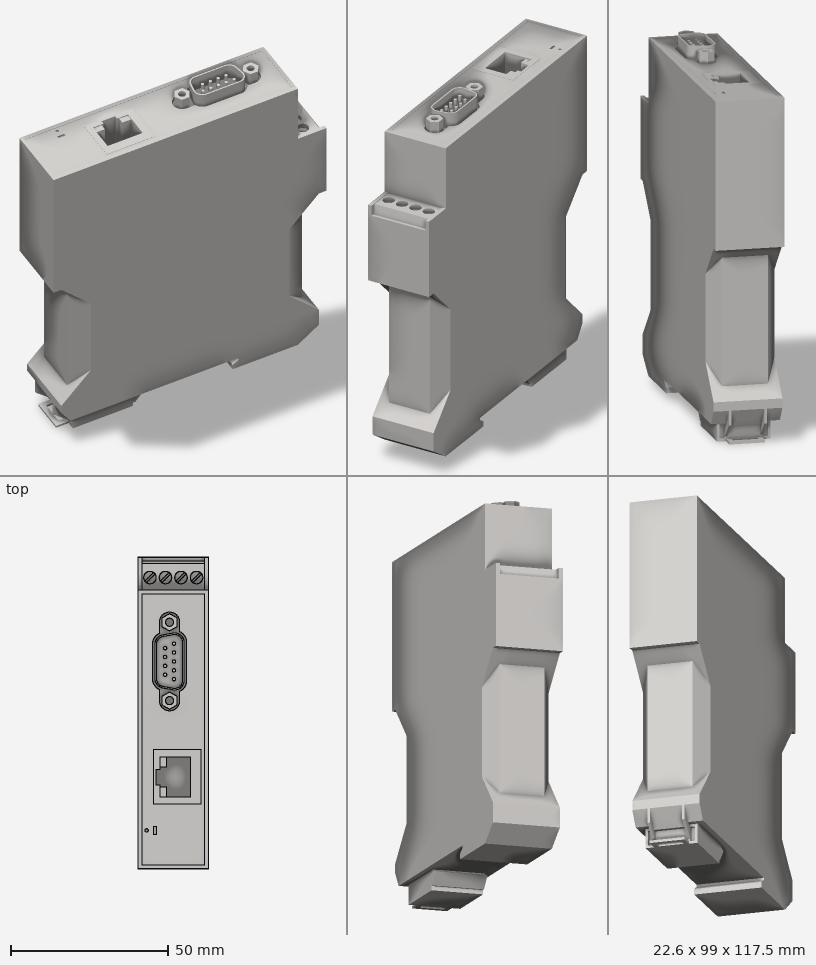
import cadquery as cq
import math


width = 22.6
depth = 99.0
housing_top = 113.4
half_width = width / 2
step_y = 88.6
step_z = 91.8
upper_bottom = 64.6
front_lip = 2.8
rear_lip = 2.8
waist_cut = 10.7
waist_top = upper_bottom - waist_cut
waist_bottom = 25.0
foot_top = waist_bottom - waist_cut
foot_front_y = front_lip
foot_rear_y = depth - rear_lip
foot_rear_z = 7.8
foot_bottom = 2.5
foot_hook_y = 65.0
foot_hook_z = 4.3
rail_y = 67.2
rail_notch_z = 5.6
rail_top = 6.5
front_chamfer_y = 6.1
front_chamfer_z = 11.3

column_front = 6.9
column_rear = depth - column_front
column_half_face = 7.5

latch_half_width = 8.7
latch_front = 8.5
latch_rear = 30.3
latch_step_y = 31.1
latch_step_z = 1.4
latch_tip_y = 34.5
latch_tip_z = 5.3
latch_neck_y = 31.8
latch_neck_z = 6.1
latch_wall = 0.8
latch_pocket_depth = 1.2
rib_inner_x = 5.4
rib_outer_x = 6.2
rib_bottom = 1.5
guide_bottom = 5.3
pull_half_width = 5.9
pull_front = 3.9
pull_bar = 1.9
pull_slot_half_width = 4.1
pull_slot_rear = 8.0

panel_half_width = 9.9
panel_border = 1.2
panel_recess = 0.1
panel_z = housing_top - panel_recess

serial_x = -1.2
serial_y = 65.9
serial_top = 117.5
serial_recess = 1.4
serial_floor = housing_top - serial_recess
shell_width = 9.3
shell_mean_half_length = 8.8
shell_corner_radius = 3.0
shell_flank_angle = math.radians(10)
shell_wall = 0.5
shell_clearance = 0.8
post_pitch = 24.9
post_across_corners = 5.5
post_bore = 2.6
post_bore_depth = 4.7
post_top = 116.8
post_well_diameter = 6.5
pin_diameter = 1.0
pin_pitch = 2.8
pin_top = 116.3

socket_x0 = -6.3
socket_x1 = 8.8
socket_y0 = 20.7
socket_y1 = 38.0
opening_x0 = -4.2
opening_x1 = 5.5
opening_y0 = 22.8
opening_y1 = 35.5
opening_depth = 12.9
key_width = 4.9
key_depth = 1.3
block_width = 2.1
block_length = 3.2
block_drop = 0.4

indicator_y = 12.2
round_indicator_x = -8.5
round_indicator_diameter = 1.0
bar_indicator_x = -5.8
bar_indicator_width = 0.9
bar_indicator_length = 2.6
indicator_depth = 0.6

terminal_half_width = 10.0
terminal_drop = 0.2
ledge_drop = 3.5
ledge_depth = 1.2
terminal_rear_inset = 2.0
screw_count = 4
screw_pitch = 4.9
screw_y = 92.6
screw_diameter = 4.0
screw_sink = 1.8
screw_slot_width = 0.7
screw_slot_depth = 0.6
screw_slot_angle = 45


def box(x0, x1, y0, y1, z0, z1):
    return cq.Workplane("XY").box(x1 - x0, y1 - y0, z1 - z0, centered=False).translate((x0, y0, z0))


def side_prism(points, x0, x1):
    """Extrude a (Y, Z) outline across X."""
    return cq.Workplane("YZ").workplane(offset=x0).polyline(points).close().extrude(x1 - x0)


def cylinder(x, y, diameter, z0, z1):
    return cq.Workplane("XY", origin=(x, y, z0)).circle(diameter / 2).extrude(z1 - z0)


def make_housing():
    outline = [
        (0, housing_top),
        (step_y, housing_top),
        (step_y, step_z),
        (depth, step_z),
        (depth, upper_bottom),
        (foot_rear_y, upper_bottom),
        (foot_rear_y - waist_cut, waist_top),
        (foot_rear_y - waist_cut, waist_bottom),
        (foot_rear_y, foot_top),
        (foot_rear_y, foot_rear_z),
        (step_y, foot_bottom),
        (foot_hook_y, foot_bottom),
        (foot_hook_y, foot_hook_z),
        (rail_y, rail_notch_z),
        (rail_y, rail_top),
        (front_chamfer_y, rail_top),
        (foot_front_y, front_chamfer_z),
        (foot_front_y, foot_top),
        (foot_front_y + waist_cut, waist_bottom),
        (foot_front_y + waist_cut, waist_top),
        (front_lip, upper_bottom),
        (0, upper_bottom),
    ]
    return side_prism(outline, -half_width, half_width)


def make_column():
    front_edge = front_lip + waist_cut
    rear_edge = depth - rear_lip - waist_cut
    outline = [
        (-half_width, front_edge),
        (-column_half_face, column_front),
        (column_half_face, column_front),
        (half_width, front_edge),
        (half_width, rear_edge),
        (column_half_face, column_rear),
        (-column_half_face, column_rear),
        (-half_width, rear_edge),
    ]
    column = cq.Workplane("XY", origin=(0, 0, foot_top)).polyline(outline).close()
    return column.extrude(upper_bottom - foot_top)


def make_latch():
    body_outline = [
        (latch_front, 0),
        (latch_rear, 0),
        (latch_rear, latch_step_z),
        (latch_step_y, latch_step_z),
        (latch_tip_y, latch_tip_z),
        (latch_neck_y, latch_neck_z),
        (latch_neck_y, rail_top),
        (latch_front, rail_top),
    ]
    latch = side_prism(body_outline, -latch_half_width, latch_half_width)
    pocket_half_width = latch_half_width - latch_wall
    latch = latch.cut(box(
        -pocket_half_width, pocket_half_width,
        latch_front, latch_front + latch_pocket_depth,
        latch_wall, rail_top - latch_wall,
    ))

    pocket_back = latch_front + latch_pocket_depth
    chamfer_run = (front_chamfer_y - foot_front_y) / (front_chamfer_z - rail_top)
    guide_front = foot_front_y + chamfer_run * (front_chamfer_z - guide_bottom)
    guide_outline = [
        (foot_front_y, front_chamfer_z),
        (guide_front, guide_bottom),
        (latch_front, guide_bottom),
        (latch_front, 0),
        (pocket_back, 0),
        (pocket_back, front_chamfer_z),
    ]
    latch = latch.union(side_prism(guide_outline, -rib_inner_x, rib_inner_x))

    rib_outline = [
        (foot_front_y, front_chamfer_z),
        (foot_front_y, rail_top),
        (latch_front, rib_bottom),
        (latch_front, 0),
        (pocket_back, 0),
        (pocket_back, front_chamfer_z),
    ]
    for x0 in (-rib_outer_x, rib_inner_x):
        latch = latch.union(side_prism(rib_outline, x0, x0 + rib_outer_x - rib_inner_x))

    pull = box(-pull_half_width, pull_half_width, pull_front, latch_front, 0, latch_wall)
    slot = box(
        -pull_slot_half_width, pull_slot_half_width,
        pull_front + pull_bar, pull_slot_rear, 0, latch_wall,
    )
    return latch.union(pull.cut(slot))


def cut_panel(part):
    return part.cut(box(
        -panel_half_width, panel_half_width,
        panel_border, step_y - panel_border, panel_z, housing_top,
    ))


def d_shape(offset, z0, z1):
    """Rounded D outline of the serial shell, grown by offset and extruded in Z."""
    half = shell_width / 2 + offset
    mean_half_length = shell_mean_half_length + offset / math.cos(shell_flank_angle)
    flank = half * math.tan(shell_flank_angle)
    long_half = mean_half_length + flank
    short_half = mean_half_length - flank
    corners = [(-half, -short_half), (half, -long_half), (half, long_half), (-half, short_half)]
    outline = cq.Workplane("XY", origin=(serial_x, serial_y, z0)).polyline(corners).close()
    return outline.extrude(z1 - z0).edges("|Z").fillet(shell_corner_radius + offset)


def add_serial_connector(part):
    post_places = [serial_y - post_pitch / 2, serial_y + post_pitch / 2]

    part = part.cut(d_shape(shell_clearance, serial_floor, housing_top))
    for y in post_places:
        part = part.cut(cylinder(serial_x, y, post_well_diameter, serial_floor, housing_top))
    well_half = post_well_diameter / 2
    part = part.cut(box(
        serial_x - well_half, serial_x + well_half, *post_places, serial_floor, housing_top,
    ))

    shell = d_shape(0, serial_floor, serial_top)
    part = part.union(shell.cut(d_shape(-shell_wall, serial_floor, serial_top)))

    for y in post_places:
        post = cq.Workplane("XY", origin=(serial_x, y, serial_floor))
        post = post.transformed(rotate=(0, 0, 90)).polygon(6, post_across_corners)
        part = part.union(post.extrude(post_top - serial_floor))
        part = part.cut(cylinder(serial_x, y, post_bore, post_top - post_bore_depth, post_top))

    for x_side, count in ((1, 5), (-1, 4)):
        pin_x = serial_x + x_side * pin_pitch / 2
        for i in range(count):
            pin_y = serial_y + (i - (count - 1) / 2) * pin_pitch
            part = part.union(cylinder(pin_x, pin_y, pin_diameter, serial_floor, pin_top))
    return part


def add_network_socket(part):
    floor = housing_top - opening_depth
    middle_y = (opening_y0 + opening_y1) / 2
    part = part.union(box(socket_x0, socket_x1, socket_y0, socket_y1, floor, housing_top))
    part = part.cut(box(opening_x0, opening_x1, opening_y0, opening_y1, floor, housing_top))
    part = part.cut(box(
        opening_x0 - key_depth, opening_x0,
        middle_y - key_width / 2, middle_y + key_width / 2, floor, housing_top,
    ))
    for y0 in (opening_y0, opening_y1 - block_length):
        part = part.union(box(
            opening_x0, opening_x0 + block_width, y0, y0 + block_length,
            floor, housing_top - block_drop,
        ))
    return part


def cut_indicators(part):
    floor = panel_z - indicator_depth
    part = part.cut(cylinder(round_indicator_x, indicator_y, round_indicator_diameter, floor, panel_z))
    return part.cut(box(
        bar_indicator_x - bar_indicator_width / 2, bar_indicator_x + bar_indicator_width / 2,
        indicator_y - bar_indicator_length / 2, indicator_y + bar_indicator_length / 2,
        floor, panel_z,
    ))


def cut_terminals(part):
    terminal_top = step_z - terminal_drop
    clearance_outline = [
        (step_y, step_z),
        (step_y, terminal_top),
        (depth - terminal_rear_inset, terminal_top),
        (depth - ledge_depth, step_z - ledge_drop),
        (depth, step_z - ledge_drop),
        (depth, step_z),
    ]
    part = part.cut(side_prism(clearance_outline, -terminal_half_width, terminal_half_width))

    screw_top = terminal_top - screw_sink
    slot = cq.Workplane("XY").box(screw_diameter, screw_slot_width, screw_slot_depth)
    slot = slot.rotate((0, 0, 0), (0, 0, 1), screw_slot_angle)
    for i in range(screw_count):
        x = (i - (screw_count - 1) / 2) * screw_pitch
        part = part.cut(cylinder(x, screw_y, screw_diameter, screw_top, terminal_top))
        part = part.cut(slot.translate((x, screw_y, screw_top - screw_slot_depth / 2)))
    return part


result = make_housing().union(make_column()).union(make_latch())
result = cut_panel(result)
result = add_serial_connector(result)
result = add_network_socket(result)
result = cut_indicators(result)
result = cut_terminals(result)